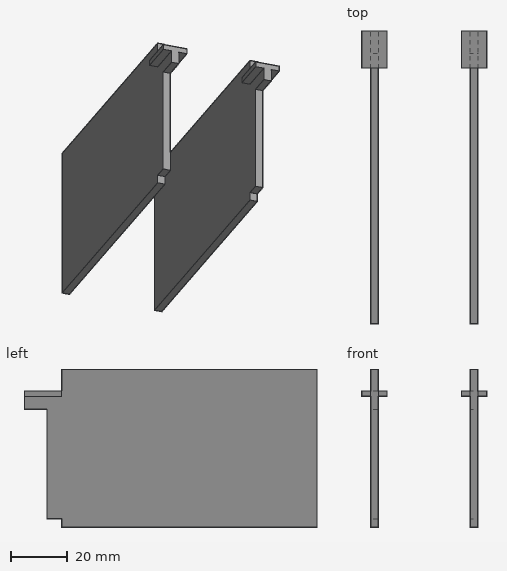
import cadquery as cq

length = 103.0
height = 55.5
plate_thickness = 2.8
plate_spacing = 35.0

tab_length = 13.1
tab_overhang = 7.9
tab_top_drop = 7.5
tab_underside_drop = 14.0
bottom_notch_height = 3.0

pad_width = 9.0
pad_thickness = 2.0

front_y = -length / 2
tip_y = length / 2
full_height_end_y = tip_y - tab_length
rear_edge_y = tip_y - tab_overhang
bottom_z = -height / 2
top_z = height / 2
tab_top_z = top_z - tab_top_drop
tab_underside_z = top_z - tab_underside_drop
notch_top_z = bottom_z + bottom_notch_height


def make_plate():
    """Upright plate with a tab and a bottom notch at its rear edge."""
    outline = [
        (front_y, bottom_z),
        (full_height_end_y, bottom_z),
        (full_height_end_y, notch_top_z),
        (rear_edge_y, notch_top_z),
        (rear_edge_y, tab_underside_z),
        (tip_y, tab_underside_z),
        (tip_y, tab_top_z),
        (full_height_end_y, tab_top_z),
        (full_height_end_y, top_z),
        (front_y, top_z),
    ]
    return cq.Workplane("YZ").polyline(outline).close().extrude(plate_thickness / 2, both=True)


def make_pad():
    """Flat pad spreading to both sides of the plate, flush with the tab top."""
    pad = cq.Workplane("XY").box(pad_width, tab_length, pad_thickness, centered=(True, False, False))
    return pad.translate((0, full_height_end_y, tab_top_z - pad_thickness))


def make_tabbed_panel(center_x):
    """One panel: the plate and its pad as a single solid."""
    return make_plate().union(make_pad()).translate((center_x, 0, 0)).solids()


panels = []
for side in (-1, 1):
    panels.append(make_tabbed_panel(side * plate_spacing / 2).val())

result = cq.Compound.makeCompound(panels)